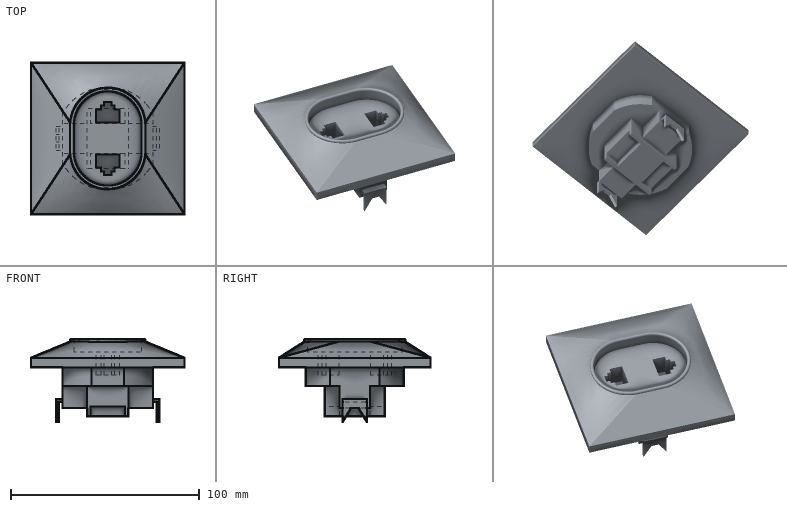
import cadquery as cq

PLATE_X = 81.5
PLATE_Y = 80.5
PLATE_THICKNESS = 5.0

BEAD_RADIUS = 1.0
RIM_RADIUS = 19.0
RIM_STRAIGHT = 14.0
RIM_Z = 14.0

RECESS_RADIUS = RIM_RADIUS - BEAD_RADIUS
RECESS_FLOOR_Z = 8.0

BODY_X = 48.0
BODY_Y = 52.0
BODY_DIAMETER = 54.8
BODY_BOTTOM_Z = -10.0

BAR_Y = 16.0
BAR_BOTTOM_Z = -21.7

HOUSING_X = 21.8
HOUSING_Y = 32.0
HOUSING_BOTTOM_Z = -26.1
END_NOTCH_X = 18.4
END_NOTCH_HEIGHT = 5.2
END_NOTCH_DEPTH = (HOUSING_Y - BAR_Y) / 2

CLIP_SPAN = 54.8
CLIP_WIDTH = 12.8
CLIP_TOP_Z = -16.7
CLIP_BOTTOM_Z = -29.0
CLIP_ARM_THICKNESS = 1.7
CLIP_CLAW_THICKNESS = 1.5
CLAW_GAP_TOP_WIDTH = 4.0
CLAW_GAP_TOP_Z = -21.6

JACK_INNER_Y = 8.4
JACK_STEPS = ((12.2, 15.3), (7.3, 17.4), (3.9, 19.4))
JACK_DEPTH = 12.0


def block(size_x, size_y, z_low, z_high):
    """Box centred on the Z axis between two heights."""
    return cq.Workplane("XY", origin=(0, 0, z_low)).rect(size_x, size_y).extrude(z_high - z_low)


def oval(workplane, radius):
    """Oval outline stretched along Y, made of two lines and two half circles."""
    half_straight = RIM_STRAIGHT / 2
    end_y = half_straight + radius
    return (
        workplane.moveTo(radius, -half_straight)
        .lineTo(radius, half_straight)
        .threePointArc((0, end_y), (-radius, half_straight))
        .lineTo(-radius, -half_straight)
        .threePointArc((0, -end_y), (radius, -half_straight))
        .close()
    )


def make_cover():
    """Plate with the ruled hood whose four sides end on the four stretches of the rim."""
    half_x = PLATE_X / 2
    half_y = PLATE_Y / 2
    corners = [(half_x, -half_y), (half_x, half_y), (-half_x, half_y), (-half_x, -half_y)]
    base = cq.Workplane("XY", origin=(0, 0, PLATE_THICKNESS)).polyline(corners).close()
    hood = oval(base.workplane(offset=RIM_Z - PLATE_THICKNESS), RIM_RADIUS).loft(ruled=True)
    return block(PLATE_X, PLATE_Y, 0, PLATE_THICKNESS).union(hood)


def make_bead():
    """Round bead that follows the rim."""
    path = oval(cq.Workplane("XY", origin=(0, 0, RIM_Z)), RIM_RADIUS)
    section = cq.Workplane("XZ", origin=(RIM_RADIUS, -RIM_STRAIGHT / 2, RIM_Z)).circle(BEAD_RADIUS)
    return section.sweep(path)


def make_recess():
    """Cutter for the oval recess."""
    floor = cq.Workplane("XY", origin=(0, 0, RECESS_FLOOR_Z))
    return oval(floor, RECESS_RADIUS).extrude(RIM_Z + BEAD_RADIUS - RECESS_FLOOR_Z)


def make_body():
    """Disc trimmed by four flats."""
    disc = cq.Workplane("XY").circle(BODY_DIAMETER / 2).extrude(BODY_BOTTOM_Z)
    return disc.intersect(block(BODY_X, BODY_Y, BODY_BOTTOM_Z, 0))


def make_housing():
    """Cross bar and socket housing with a notch in both Y ends."""
    bar = block(BODY_X, BAR_Y, BAR_BOTTOM_Z, BODY_BOTTOM_Z)
    housing = block(HOUSING_X, HOUSING_Y, HOUSING_BOTTOM_Z, BODY_BOTTOM_Z)
    notch = block(END_NOTCH_X, END_NOTCH_DEPTH, HOUSING_BOTTOM_Z, HOUSING_BOTTOM_Z + END_NOTCH_HEIGHT)
    notch_centre_y = (HOUSING_Y - END_NOTCH_DEPTH) / 2
    for side in (-1, 1):
        housing = housing.cut(notch.translate((0, side * notch_centre_y, 0)))
    return bar.union(housing)


def make_clips():
    """Both clips: an arm out of each bar end, then a claw with two pointed legs."""
    inner_span = CLIP_SPAN - 2 * CLIP_CLAW_THICKNESS
    clips = block(CLIP_SPAN, CLIP_WIDTH, CLIP_BOTTOM_Z, CLIP_TOP_Z)
    clips = clips.cut(block(inner_span, CLIP_WIDTH, CLIP_BOTTOM_Z, CLIP_TOP_Z - CLIP_ARM_THICKNESS))
    clips = clips.cut(block(BODY_X, CLIP_WIDTH, CLIP_BOTTOM_Z, CLIP_TOP_Z))
    gap_outline = [
        (-CLIP_WIDTH / 2, CLIP_BOTTOM_Z),
        (-CLAW_GAP_TOP_WIDTH / 2, CLAW_GAP_TOP_Z),
        (CLAW_GAP_TOP_WIDTH / 2, CLAW_GAP_TOP_Z),
        (CLIP_WIDTH / 2, CLIP_BOTTOM_Z),
    ]
    leg_gap = cq.Workplane("YZ").polyline(gap_outline).close().extrude(CLIP_SPAN / 2, both=True)
    return clips.cut(leg_gap)


def make_jack():
    """Cutter for the jack opening on the +Y side, narrowing in steps away from the centre."""
    jack = cq.Workplane("XY")
    for width, outer_y in JACK_STEPS:
        length = outer_y - JACK_INNER_Y
        centre_y = (outer_y + JACK_INNER_Y) / 2
        step = block(width, length, RECESS_FLOOR_Z - JACK_DEPTH, RECESS_FLOOR_Z)
        jack = jack.union(step.translate((0, centre_y, 0)))
    return jack


jack = make_jack()

result = (
    make_cover()
    .union(make_bead())
    .cut(make_recess())
    .union(make_body())
    .union(make_housing())
    .union(make_clips())
    .cut(jack)
    .cut(jack.mirror("XZ"))
)